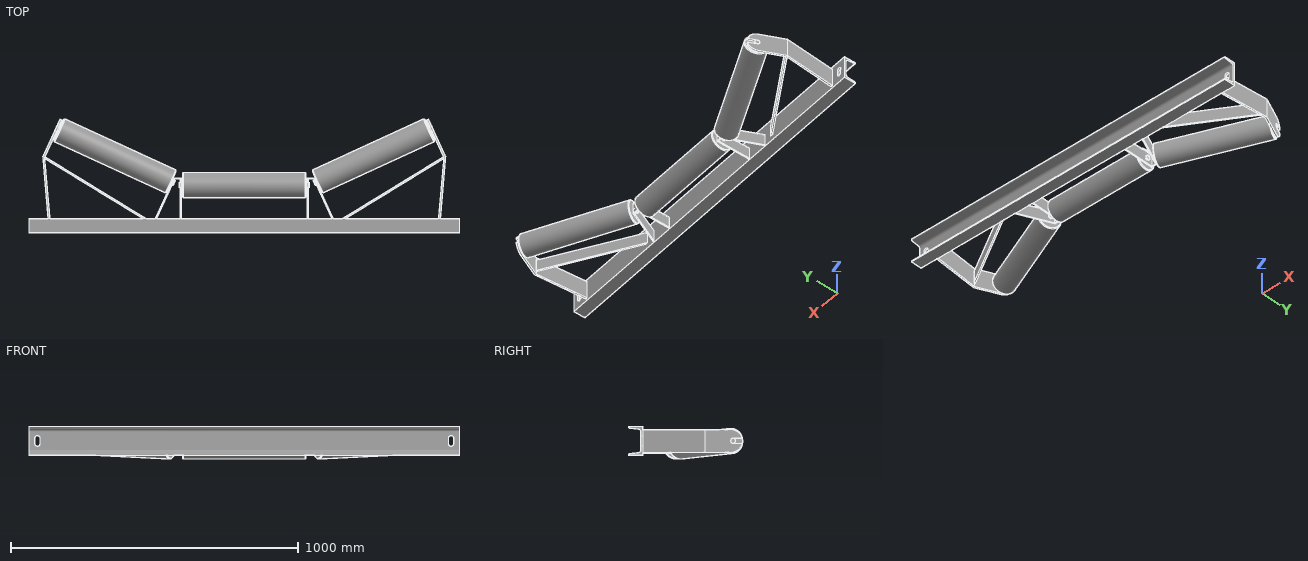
import cadquery as cq
import math

BASE_LENGTH = 1500.0
BASE_HEIGHT = 100.0
BASE_DEPTH = 50.0
WEB_THICKNESS = 8.0
FLANGE_ROOT_THICKNESS = 10.0
FLANGE_TIP_THICKNESS = 6.0
ROOT_RADIUS = 9.0
TOE_RADIUS = 5.0
MOUNT_SLOT_X = 720.0
MOUNT_SLOT_WIDTH = 18.0
MOUNT_SLOT_HEIGHT = 36.0

ROLLER_DIAMETER = 88.0
ROLLER_LENGTH = 430.0
ROLLER_CHAMFER = 3.0
AXLE_DIAMETER = 18.0
BRACKET_CLEARANCE = 5.0
CENTRE_ROLLER_Y = 166.0
CENTRE_ROLLER_Z = -20.0
SIDE_ROLLER_X = 450.0
SIDE_ROLLER_Y = 268.0
TROUGH_ANGLE = 24.7
FORWARD_TILT = 2.6

OUTER_THICKNESS = 8.0
OUTER_WIDTH = 80.0
OUTER_LEG_LENGTH = 105.0
OUTER_TIP_SETBACK = 3.0
OUTER_FOOT_X = 680.0

INNER_THICKNESS = 5.0
INNER_WIDTH = 50.0
INNER_TOP_Y = 192.0
INNER_UPRIGHT_X = 219.0
INNER_RIDGE_X = 245.0

BRACE_THICKNESS = 6.0
BRACE_WIDTH = 50.0
BRACE_FOOT_X = 346.0

AXLE_OVERHANG = BRACKET_CLEARANCE + OUTER_THICKNESS

COS_TROUGH = math.cos(math.radians(TROUGH_ANGLE))
SIN_TROUGH = math.sin(math.radians(TROUGH_ANGLE))
COS_TILT = math.cos(math.radians(FORWARD_TILT))
SIN_TILT = math.sin(math.radians(FORWARD_TILT))

SIDE_AXIS = cq.Vector(COS_TROUGH * COS_TILT, SIN_TROUGH * COS_TILT, SIN_TILT)
SIDE_CENTRE = cq.Vector(SIDE_ROLLER_X, SIDE_ROLLER_Y, CENTRE_ROLLER_Z + ROLLER_LENGTH / 2 * SIN_TILT)

AXLE_END = SIDE_CENTRE + SIDE_AXIS * (ROLLER_LENGTH / 2 + AXLE_OVERHANG)
LEG_DIRECTION = cq.Vector(-SIN_TROUGH, COS_TROUGH, 0)
LEG_NORMAL = cq.Vector(COS_TROUGH, SIN_TROUGH, 0)
OUTER_BEND = cq.Vector(AXLE_END.x, AXLE_END.y, 0) - LEG_DIRECTION * (OUTER_LEG_LENGTH + OUTER_TIP_SETBACK)
INNER_BEND = OUTER_BEND - LEG_NORMAL * OUTER_THICKNESS


def mirrored(body):
    """Left-hand twin of a right-hand body."""
    return body.mirror("YZ")


def make_base():
    half_height = BASE_HEIGHT / 2
    base = (
        cq.Workplane("YZ")
        .moveTo(0, half_height)
        .lineTo(BASE_DEPTH, half_height)
        .lineTo(BASE_DEPTH, -half_height)
        .lineTo(0, -half_height)
        .lineTo(0, -half_height + FLANGE_TIP_THICKNESS)
        .lineTo(BASE_DEPTH - WEB_THICKNESS, -half_height + FLANGE_ROOT_THICKNESS)
        .lineTo(BASE_DEPTH - WEB_THICKNESS, half_height - FLANGE_ROOT_THICKNESS)
        .lineTo(0, half_height - FLANGE_TIP_THICKNESS)
        .close()
        .extrude(BASE_LENGTH / 2, both=True)
    )
    inner_half = half_height - FLANGE_ROOT_THICKNESS / 2
    root_box = cq.selectors.BoxSelector(
        (-BASE_LENGTH, BASE_DEPTH - 1.5 * WEB_THICKNESS, -inner_half),
        (BASE_LENGTH, BASE_DEPTH - WEB_THICKNESS / 2, inner_half),
    )
    toe_half = half_height - FLANGE_TIP_THICKNESS / 2
    toe_box = cq.selectors.BoxSelector(
        (-BASE_LENGTH, -TOE_RADIUS, -toe_half), (BASE_LENGTH, TOE_RADIUS, toe_half)
    )
    base = base.edges("|X").edges(root_box).fillet(ROOT_RADIUS)
    base = base.edges("|X").edges(toe_box).fillet(TOE_RADIUS)
    slots = (
        cq.Workplane("XZ")
        .pushPoints([(-MOUNT_SLOT_X, 0), (MOUNT_SLOT_X, 0)])
        .slot2D(MOUNT_SLOT_HEIGHT, MOUNT_SLOT_WIDTH, 90)
        .extrude(-BASE_DEPTH)
    )
    return base.cut(slots)


def make_roller(centre, axis):
    shell_plane = cq.Plane(centre - axis * (ROLLER_LENGTH / 2), normal=axis)
    shell = (
        cq.Workplane(shell_plane)
        .circle(ROLLER_DIAMETER / 2)
        .extrude(ROLLER_LENGTH)
        .edges()
        .chamfer(ROLLER_CHAMFER)
    )
    axle_half = ROLLER_LENGTH / 2 + AXLE_OVERHANG
    axle = (
        cq.Workplane(cq.Plane(centre - axis * axle_half, normal=axis))
        .circle(AXLE_DIAMETER / 2)
        .extrude(2 * axle_half)
    )
    return shell.union(axle)


def make_outer_bracket():
    """Right-hand outer bracket."""
    tip_radius = OUTER_WIDTH / 2
    leg_plane = cq.Plane(OUTER_BEND, xDir=LEG_DIRECTION, normal=LEG_NORMAL * -1)
    leg = (
        cq.Workplane(leg_plane)
        .moveTo(0, -tip_radius)
        .lineTo(OUTER_LEG_LENGTH, -tip_radius)
        .threePointArc((OUTER_LEG_LENGTH + tip_radius, 0), (OUTER_LEG_LENGTH, tip_radius))
        .lineTo(0, tip_radius)
        .close()
        .extrude(OUTER_THICKNESS)
    )
    foot = (
        cq.Workplane("XY")
        .moveTo(OUTER_BEND.x, OUTER_BEND.y)
        .lineTo(INNER_BEND.x, INNER_BEND.y)
        .lineTo(OUTER_FOOT_X - OUTER_THICKNESS / 2, BASE_DEPTH)
        .lineTo(OUTER_FOOT_X + OUTER_THICKNESS / 2, BASE_DEPTH)
        .close()
        .extrude(tip_radius, both=True)
    )
    slot_plane = cq.Plane(AXLE_END, xDir=LEG_DIRECTION, normal=SIDE_AXIS * -1)
    slot_start = cq.Workplane(slot_plane).workplane(offset=-OUTER_THICKNESS)
    slot_depth = 3 * OUTER_THICKNESS
    slot_bottom = slot_start.circle(AXLE_DIAMETER / 2).extrude(slot_depth)
    slot_mouth = slot_start.center(tip_radius, 0).rect(2 * tip_radius, AXLE_DIAMETER).extrude(slot_depth)
    slot = slot_bottom.union(slot_mouth)
    return leg.union(foot).cut(slot)


def make_inner_bracket():
    """Right-hand inner bracket, before its axle holes are cut."""
    tan_trough = SIN_TROUGH / COS_TROUGH
    foot_x = INNER_RIDGE_X + (INNER_TOP_Y - BASE_DEPTH) * tan_trough
    slope_thickness = INNER_THICKNESS / COS_TROUGH
    return (
        cq.Workplane("XY", origin=(0, 0, CENTRE_ROLLER_Z))
        .moveTo(INNER_UPRIGHT_X, BASE_DEPTH)
        .lineTo(INNER_UPRIGHT_X, INNER_TOP_Y)
        .lineTo(INNER_RIDGE_X, INNER_TOP_Y)
        .lineTo(foot_x, BASE_DEPTH)
        .lineTo(foot_x - slope_thickness, BASE_DEPTH)
        .lineTo(
            INNER_RIDGE_X - slope_thickness + INNER_THICKNESS * tan_trough,
            INNER_TOP_Y - INNER_THICKNESS,
        )
        .lineTo(INNER_UPRIGHT_X + INNER_THICKNESS, INNER_TOP_Y - INNER_THICKNESS)
        .lineTo(INNER_UPRIGHT_X + INNER_THICKNESS, BASE_DEPTH)
        .close()
        .extrude(INNER_WIDTH / 2, both=True)
    )


def make_brace():
    """Right-hand brace, centred on the inside of the outer bracket's bend and notched to fit it."""
    brace_foot = cq.Vector(BRACE_FOOT_X, BASE_DEPTH, 0)
    bracket_foot = cq.Vector(OUTER_FOOT_X - OUTER_THICKNESS / 2, BASE_DEPTH, 0)
    bar_direction = (INNER_BEND - brace_foot).normalized()
    half_foot = BRACE_THICKNESS / 2 / bar_direction.y

    def corner_on(face_direction):
        """Where a side of the bar meets the bracket face that leaves the bend in this direction."""
        sine = abs(bar_direction.cross(face_direction).z)
        return INNER_BEND + face_direction * (BRACE_THICKNESS / 2 / sine)

    upper_corner = corner_on(LEG_DIRECTION)
    lower_corner = corner_on((bracket_foot - INNER_BEND).normalized())
    return (
        cq.Workplane("XY")
        .moveTo(brace_foot.x - half_foot, brace_foot.y)
        .lineTo(upper_corner.x, upper_corner.y)
        .lineTo(INNER_BEND.x, INNER_BEND.y)
        .lineTo(lower_corner.x, lower_corner.y)
        .lineTo(brace_foot.x + half_foot, brace_foot.y)
        .close()
        .extrude(BRACE_WIDTH / 2, both=True)
    )


base = make_base()
centre_roller = make_roller(cq.Vector(0, CENTRE_ROLLER_Y, CENTRE_ROLLER_Z), cq.Vector(1, 0, 0))
side_roller = make_roller(SIDE_CENTRE, SIDE_AXIS)
outer_bracket = make_outer_bracket()
inner_bracket = make_inner_bracket().cut(centre_roller).cut(side_roller)
brace = make_brace()

bodies = [base.val(), centre_roller.val()]
for body in (side_roller, outer_bracket, inner_bracket, brace):
    bodies.append(body.val())
    bodies.append(mirrored(body).val())
result = cq.Compound.makeCompound(bodies)